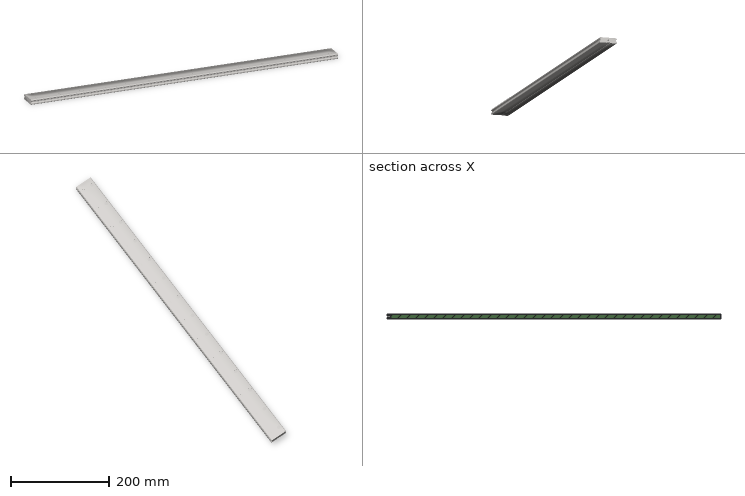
import cadquery as cq

length = 680.0
top_width = 34.0

top_bevel_width = 1.5
top_bevel_height = 1.5
bottom_bevel = 0.55
width = top_width + 2 * top_bevel_width

groove_bottom = 3.0
groove_depth = 2.0
lower_flank_height = groove_depth
groove_floor_height = 2.0
upper_flank_height = 1.5
groove_top = groove_bottom + lower_flank_height + groove_floor_height + upper_flank_height

upper_land_height = 1.5
height = groove_top + upper_land_height + top_bevel_height

relief_width = 9.0
relief_depth = 1.0

recess_diameter = 7.5
recess_depth = 0.35
recesses_per_row = 14
row_spacing = 22.0
end_margin = 15.0
recess_pitch = (length - 2 * end_margin) / (recesses_per_row - 1)

end_hole_diameter = 3.0
end_hole_depth = 7.0


def make_rail():
    """Extrude the symmetric cross-section along Y, centred on the origin."""
    side = width / 2
    groove_floor = side - groove_depth
    floor_bottom = groove_bottom + lower_flank_height
    right_half = [
        (relief_width / 2, relief_depth),
        (relief_width / 2, 0),
        (side - bottom_bevel, 0),
        (side, bottom_bevel),
        (side, groove_bottom),
        (groove_floor, floor_bottom),
        (groove_floor, floor_bottom + groove_floor_height),
        (side, groove_top),
        (side, height - top_bevel_height),
        (top_width / 2, height),
    ]
    left_half = [(-x, z) for x, z in reversed(right_half)]
    profile = cq.Workplane("XZ").polyline(right_half + left_half).close()
    return profile.extrude(length / 2, both=True)


def make_mounting_recesses():
    """Cylinders that sink the mounting recesses into the top face."""
    return (
        cq.Workplane("XY", origin=(0, 0, height - recess_depth))
        .rarray(row_spacing, recess_pitch, 2, recesses_per_row)
        .circle(recess_diameter / 2)
        .extrude(recess_depth)
    )


def make_end_hole():
    """Cylinder running into the rail from its -Y end."""
    return (
        cq.Workplane("XZ", origin=(0, -length / 2, height / 2))
        .circle(end_hole_diameter / 2)
        .extrude(-end_hole_depth)
    )


result = make_rail().cut(make_mounting_recesses()).cut(make_end_hole())